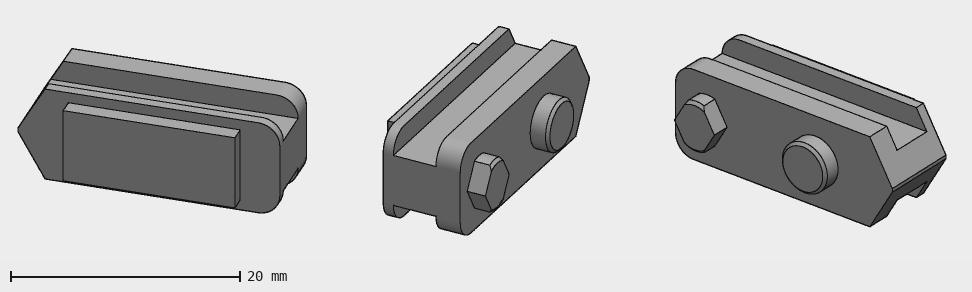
import cadquery as cq
import math

length = 24.0
height = 9.0
point_angle = 60.0
tip_height = 0.35
corner_radius = 2.0

front_flange = 1.0
groove_width = 4.2
back_flange = 2.4
body_depth = front_flange + groove_width + back_flange
web_height = 5.0

pad_length = 15.75
pad_height = 7.0
pad_depth = 1.5
pad_start = 4.63

pin_diameter = 5.0
pin_length = 1.8
pin_chamfer = 0.3
round_pin_x = 8.5
pin_spacing = 12.0
diamond_pin_x = round_pin_x + pin_spacing
diamond_half_width = 2.2
diamond_half_height = diamond_half_width * math.tan(math.radians(point_angle))


def make_body():
    shoulder_x = (height - tip_height) / 2 / math.tan(math.radians(point_angle))
    outline = [
        (0, -tip_height / 2),
        (shoulder_x, -height / 2),
        (length, -height / 2),
        (length, height / 2),
        (shoulder_x, height / 2),
        (0, tip_height / 2),
    ]
    body = cq.Workplane("XZ").polyline(outline).close().extrude(-body_depth)
    return body.edges("|Y and >X").fillet(corner_radius)


def make_grooves():
    groove_depth = (height - web_height) / 2
    groove_z = (height + web_height) / 4
    groove_y = front_flange + groove_width / 2
    return (
        cq.Workplane("XZ", origin=(length / 2, groove_y, 0))
        .pushPoints([(0, groove_z), (0, -groove_z)])
        .box(length, groove_depth, groove_width)
    )


def make_pad():
    pad_center_x = pad_start + pad_length / 2
    return cq.Workplane("XZ").center(pad_center_x, 0).rect(pad_length, pad_height).extrude(pad_depth)


def make_round_pin(x):
    back_face = cq.Workplane("XZ", origin=(x, body_depth, 0))
    return back_face.circle(pin_diameter / 2).extrude(-pin_length).faces(">Y").chamfer(pin_chamfer)


def make_diamond_pin(x):
    diamond = (
        cq.Workplane("XZ", origin=(x, body_depth, 0))
        .polyline([
            (-diamond_half_width, 0),
            (0, -diamond_half_height),
            (diamond_half_width, 0),
            (0, diamond_half_height),
        ])
        .close()
        .extrude(-pin_length)
    )
    return diamond.intersect(make_round_pin(x))


result = (
    make_body()
    .cut(make_grooves())
    .union(make_pad())
    .union(make_round_pin(round_pin_x))
    .union(make_diamond_pin(diamond_pin_x))
)